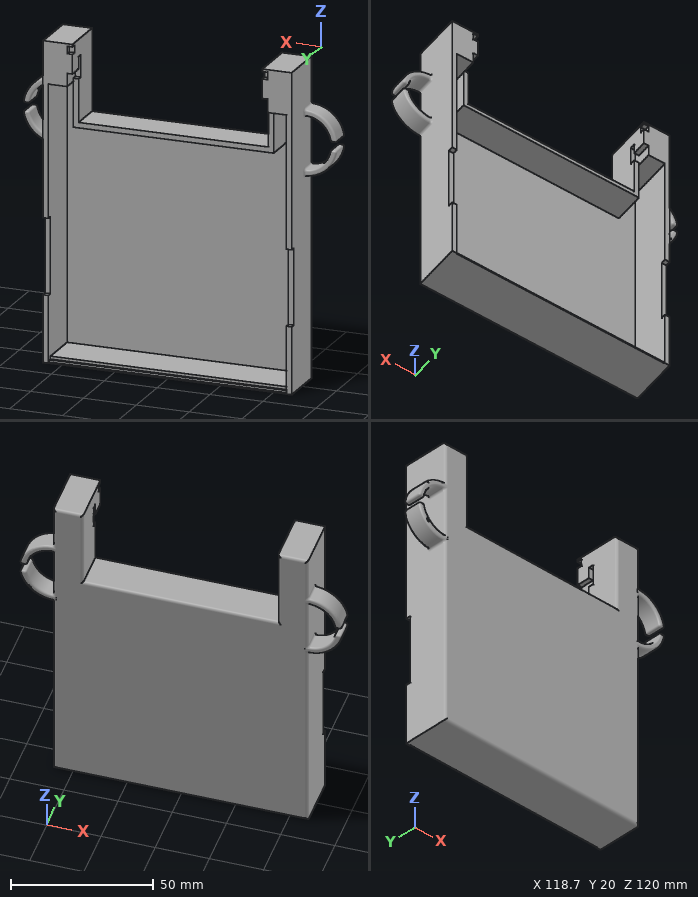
import cadquery as cq

case_width = 94.1
case_height = 120.0
case_depth = 20.0
wall = 2.0
front_edge_radius = 1.2

slot_width = 71.8
slot_floor_z = 89.0
slot_wall_depth = 14.2

cover_thickness = 2.0
rim = 1.0
lip_depth = 19.8
bevel_start_depth = 19.0
bevel_width = 0.5

notch_bottom_z = 25.3
notch_top_z = 54.0

latch_block_z = 104.0
window_bottom_z = 105.2
window_top_z = 113.5
window_front_y = 12.0
tab_bottom_z = 109.0
tab_top_z = 116.3

clip_outer_radius = 12.5
clip_thickness = 2.5
clip_depth = 8.0
clip_gap = 2.9
clip_center_z = 90.0
clip_edge_radius = 0.8
clip_root_radius = 1.0

selection_margin = 0.1

half_case = case_width / 2
half_slot = slot_width / 2
seat_y = case_depth - cover_thickness


def box(x_range, y_range, z_range):
    """Axis-aligned box spanning the three (low, high) ranges."""
    (x0, x1), (y0, y1), (z0, z1) = x_range, y_range, z_range
    return cq.Workplane("XY").box(x1 - x0, y1 - y0, z1 - z0, centered=False).translate((x0, y0, z0))


def both_sides(shape):
    """The shape together with its mirror image across the YZ plane."""
    return shape.union(shape.mirror("YZ"))


def outer_body():
    """U-shaped block with a rounded front outline."""
    block = box((-half_case, half_case), (0, case_depth), (0, case_height))
    slot = box((-half_slot, half_slot), (0, case_depth), (slot_floor_z, case_height))
    return block.cut(slot).faces("<Y").edges().fillet(front_edge_radius)


def ring_clip():
    """Split half ring on the +X side, with rounded edges."""
    inner_radius = clip_outer_radius - clip_thickness
    ring = (
        cq.Workplane("XZ", origin=(half_case, 0, clip_center_z))
        .circle(clip_outer_radius)
        .circle(inner_radius)
        .extrude(-clip_depth)
    )
    gap = box(
        (half_case, half_case + clip_outer_radius),
        (0, clip_depth),
        (clip_center_z - clip_gap / 2, clip_center_z + clip_gap / 2),
    )
    outer_half = box(
        (half_case - wall, half_case + clip_outer_radius),
        (0, clip_depth),
        (clip_center_z - clip_outer_radius, clip_center_z + clip_outer_radius),
    )
    return ring.intersect(outer_half).cut(gap).edges("not(<X)").fillet(clip_edge_radius)


def cavity():
    """Hollow inside the walls, open to the back, reaching into both prongs."""
    main = box(
        (-half_case + wall, half_case - wall), (wall, case_depth), (wall, slot_floor_z - wall)
    )
    prong = box(
        (half_slot + wall, half_case - wall), (wall, case_depth), (wall, latch_block_z)
    )
    return main.union(both_sides(prong))


def lowered_slot_walls():
    """Space behind the walls around the slot, which stop short of the back."""
    half_span = half_slot + wall
    return box(
        (-half_span, half_span), (slot_wall_depth, case_depth), (slot_floor_z - wall, window_bottom_z)
    )


def bottom_lip():
    """Space behind the bottom wall: cover seat, bevel and lowered back edge."""
    half_inside = half_case - wall
    outline = [
        (seat_y, wall),
        (seat_y, rim),
        (bevel_start_depth, rim),
        (lip_depth, rim - bevel_width),
        (lip_depth, 0),
        (case_depth, 0),
        (case_depth, wall),
    ]
    return cq.Workplane("YZ", origin=(-half_inside, 0, 0)).polyline(outline).close().extrude(2 * half_inside)


def side_notches():
    """Notches through the back edge of both side walls."""
    return both_sides(
        box(
            (half_case - wall, half_case),
            (seat_y, case_depth),
            (notch_bottom_z, notch_top_z),
        )
    )


def latch_cuts():
    """Window beside the latch tab and the free space around the tab, on both prongs."""
    wall_x = (half_slot, half_slot + wall)
    window = box(wall_x, (window_front_y, slot_wall_depth), (window_bottom_z, window_top_z))
    below_tab = box(wall_x, (slot_wall_depth, case_depth), (window_bottom_z, tab_bottom_z))
    above_tab = box(wall_x, (seat_y, case_depth), (tab_top_z, case_height - rim))
    return both_sides(window.union(below_tab).union(above_tab))


def body_with_clips():
    """Outer body and both clips, with the clip roots blended into the side faces."""
    body = outer_body().union(both_sides(ring_clip()))
    blend_reach = clip_outer_radius + clip_root_radius
    for side_x in (-half_case, half_case):
        root_edges = cq.selectors.BoxSelector(
            (side_x - selection_margin, 0, clip_center_z - blend_reach),
            (side_x + selection_margin, case_depth, clip_center_z + blend_reach),
        )
        body = body.edges(root_edges).fillet(clip_root_radius)
    return body


result = (
    body_with_clips()
    .cut(cavity())
    .cut(lowered_slot_walls())
    .cut(bottom_lip())
    .cut(side_notches())
    .cut(latch_cuts())
)